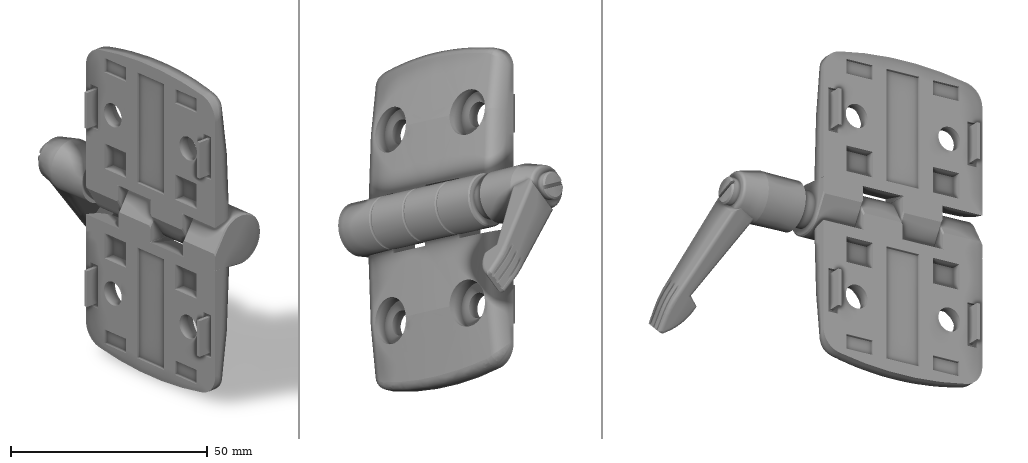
import cadquery as cq
import math


leaf_width = 48.0
half_width = leaf_width / 2
leaf_end = 43.5
end_arc_radius = 100.05
corner_radius = 6.0
axis_height = 9.05
mount_y = -axis_height
slab_depth = 12.2
dome_radius = 200.1
shoulder_radius = 4.0
end_edge_radius = 2.0
bend_height = 7.4
inner_slope = 2.6
outer_slope = 7.4

knuckle_count = 4
knuckle_pitch = leaf_width / knuckle_count
knuckle_gap = 0.2
knuckle_radius = 7.0
knuckle_chamfer = 0.35
bevel_start = 1.4
ledge_z = 6.2
notch_z = 6.0
notch_slope = 13.5

hole_x = 14.0
hole_z = 25.0
hole_diameter = 6.5
counterbore_diameter = 12.0
counterbore_seat = 3.0
pocket_x = 13.05
pocket_width = 8.0
end_pocket_bottom = 36.0
pocket_top = 40.0
hinge_pocket_bottom = 9.05
hinge_pocket_top = 16.1
hinge_pocket_depth = 3.05
shallow_depth = 1.0
middle_pocket_width = 10.0
tab_x = 21.0
tab_recess_width = 3.0
tab_recess_length = 12.0
tab_thickness = 1.0
tab_length = 10.0
tab_projection = 3.0

hub_end_x = -27.9
hub_ridge_x = -39.2
hub_face_x = -45.8
hub_end_radius = 6.8
hub_ridge_radius = 7.0
hub_face_radius = 5.5
hub_face_fillet = 0.9
arm_angle = 40.0
arm_draft = 2.4
arm_root_half_width = 5.3
arm_edge_radius = 1.0
arm_length = 39.85
arm_tip_x = -53.5
arm_bend_x = -52.55
arm_bend = 28.1
arm_mid_bend_x = -53.25
arm_mid_bend = 31.2
arm_straight = 34.4
groove_pitch = 2.1
groove_width = 0.7
groove_start = 25.75
groove_depth = 0.35

insert_radius = 5.05
insert_depth = 7.8
screw_head_radius = 3.6
screw_head_x = -48.0
screw_head_chamfer = 0.4
screw_shank_radius = 2.5
screw_end_x = -32.2
slot_width = 1.0
slot_depth = 1.05
slot_angle = 19.0


def leaf_outline():
    """Rounded end of the leaf, as a slab that starts at the hinge axis."""
    end_centre_z = leaf_end - end_arc_radius
    corner_x = half_width - corner_radius
    corner_z = end_centre_z + math.sqrt((end_arc_radius - corner_radius) ** 2 - corner_x ** 2)
    tilt = math.asin(corner_x / (end_arc_radius - corner_radius))
    blend_x = end_arc_radius * math.sin(tilt)
    blend_z = end_centre_z + end_arc_radius * math.cos(tilt)
    middle = (math.pi / 2 - tilt) / 2
    mid_x = corner_x + corner_radius * math.cos(middle)
    mid_z = corner_z + corner_radius * math.sin(middle)
    return (
        cq.Workplane("XZ", origin=(0, mount_y, 0))
        .moveTo(-half_width, 0)
        .lineTo(half_width, 0)
        .lineTo(half_width, corner_z)
        .threePointArc((mid_x, mid_z), (blend_x, blend_z))
        .threePointArc((0, leaf_end), (-blend_x, blend_z))
        .threePointArc((-mid_x, mid_z), (-half_width, corner_z))
        .close()
        .extrude(-slab_depth)
    )


def back_prism(slope):
    """Bar with the domed cross-section of the back, leaning by `slope` about the bend."""
    sagitta = dome_radius - math.sqrt(dome_radius ** 2 - half_width ** 2)
    depth = 2 * slab_depth
    reach = leaf_end
    prism = (
        cq.Workplane("XY", origin=(0, 0, -reach))
        .moveTo(-half_width, -depth)
        .lineTo(half_width, -depth)
        .lineTo(half_width, -sagitta)
        .threePointArc((0, 0), (-half_width, -sagitta))
        .close()
        .extrude(2 * reach)
        .edges("|Z").edges(">Y")
        .fillet(shoulder_radius)
    )
    return prism.rotate((0, 0, 0), (1, 0, 0), slope).translate((0, mount_y + bend_height, hole_z))


def leaf_plate():
    """Domed plate above the hinge, with its end edge rounded."""
    blank = leaf_outline().intersect(back_prism(inner_slope)).intersect(back_prism(outer_slope))
    end_edges = cq.selectors.BoxSelector(
        (-half_width / 2, mount_y + end_edge_radius, leaf_end - corner_radius),
        (half_width / 2, mount_y + slab_depth, leaf_end),
    )
    rounded = blank.edges(end_edges).fillet(end_edge_radius)
    below_notch = cq.Workplane("XY").box(leaf_width, 4 * slab_depth, 2 * notch_z)
    return rounded.cut(below_notch)


def segment_start(index):
    return -half_width + index * knuckle_pitch


def knuckle(index):
    """Bevelled, round-ended knuckle that joins the plate above the hinge axis."""
    bevel_reach = math.hypot(axis_height, bevel_start)
    tangent_length = math.sqrt(bevel_reach ** 2 - knuckle_radius ** 2)
    direction = math.atan2(bevel_start, axis_height) + math.asin(knuckle_radius / bevel_reach)
    tangent_y = mount_y + tangent_length * math.cos(direction)
    tangent_z = bevel_start - tangent_length * math.sin(direction)
    middle = knuckle_radius * math.sqrt(0.5)
    left_gap = knuckle_gap / 2 if index > 0 else 0
    right_gap = knuckle_gap / 2 if index < knuckle_count - 1 else 0
    return (
        cq.Workplane("YZ", origin=(segment_start(index) + left_gap, 0, 0))
        .moveTo(mount_y, bevel_start)
        .lineTo(tangent_y, tangent_z)
        .threePointArc((middle, -middle), (0, knuckle_radius))
        .lineTo(mount_y, ledge_z)
        .close()
        .extrude(knuckle_pitch - left_gap - right_gap)
        .edges("%CIRCLE")
        .chamfer(knuckle_chamfer)
    )


def knuckle_notch(index):
    """Clearance for a knuckle of the other leaf, with a sloping floor."""
    rise = slab_depth * math.tan(math.radians(notch_slope))
    return (
        cq.Workplane("YZ", origin=(segment_start(index), 0, 0))
        .moveTo(mount_y, 0)
        .lineTo(mount_y, notch_z)
        .lineTo(mount_y + slab_depth, notch_z + rise)
        .lineTo(mount_y + slab_depth, 0)
        .close()
        .extrude(knuckle_pitch)
    )


def front_pocket(centre_x, bottom, top, width, depth):
    """Rectangular pocket sunk into the mounting face."""
    return cq.Workplane("XY").box(width, depth, top - bottom).translate(
        (centre_x, mount_y + depth / 2, (bottom + top) / 2)
    )


def counterbored_hole(centre_x):
    hole = (
        cq.Workplane("XZ", origin=(centre_x, mount_y, hole_z))
        .circle(hole_diameter / 2)
        .extrude(-slab_depth)
    )
    counterbore = (
        cq.Workplane("XZ", origin=(centre_x, mount_y + counterbore_seat, hole_z))
        .circle(counterbore_diameter / 2)
        .extrude(-slab_depth)
    )
    return hole.union(counterbore)


def tab(centre_x):
    """Locating tab that stands on the floor of its recess."""
    height = tab_projection + shallow_depth
    return cq.Workplane("XY").box(tab_thickness, height, tab_length).translate(
        (centre_x, mount_y - tab_projection + height / 2, hole_z)
    )


def leaf(first_knuckle):
    """Upper leaf, with every second knuckle starting from `first_knuckle`."""
    body = leaf_plate()
    for index in range(knuckle_count):
        if index % 2 == first_knuckle:
            body = body.union(knuckle(index))
        else:
            body = body.cut(knuckle_notch(index))
    body = body.cut(front_pocket(0, hinge_pocket_bottom, pocket_top, middle_pocket_width, shallow_depth))
    for side in (-1, 1):
        x = side * pocket_x
        body = body.cut(front_pocket(x, end_pocket_bottom, pocket_top, pocket_width, shallow_depth))
        body = body.cut(
            front_pocket(x, hinge_pocket_bottom, hinge_pocket_top, pocket_width, hinge_pocket_depth)
        )
        body = body.cut(counterbored_hole(side * hole_x))
        recess_bottom = hole_z - tab_recess_length / 2
        recess_top = hole_z + tab_recess_length / 2
        body = body.cut(
            front_pocket(side * tab_x, recess_bottom, recess_top, tab_recess_width, shallow_depth)
        )
        body = body.union(tab(side * tab_x))
    return body


upper_leaf = leaf(first_knuckle=0)
lower_leaf = leaf(first_knuckle=1).mirror("XY")


arm_tilt = math.radians(arm_angle)
arm_direction = cq.Vector(0, math.sin(arm_tilt), -math.cos(arm_tilt))
arm_across = cq.Vector(0, math.cos(arm_tilt), math.sin(arm_tilt))


def hub():
    """Turned hub on the hinge axis, coned towards the screw."""
    return (
        cq.Workplane("XY")
        .moveTo(hub_end_x, 0)
        .lineTo(hub_end_x, hub_end_radius)
        .lineTo(hub_ridge_x, hub_ridge_radius)
        .lineTo(hub_face_x, hub_face_radius)
        .lineTo(hub_face_x, 0)
        .close()
        .revolve(360, (0, 0, 0), (1, 0, 0))
        .faces("<X").edges()
        .fillet(hub_face_fillet)
    )


def is_long_arm_edge(edge):
    """True for the edges that run along the two sides of the arm outside the hub."""
    centre = edge.Center()
    return centre.dot(arm_direction) > 4.35 and abs(centre.dot(arm_across)) > 0.9


def arm():
    """Tapered arm whose outline lies in the plane of the hinge axis and the arm direction."""
    profile_plane = cq.Plane(origin=(0, 0, 0), xDir=(1, 0, 0), normal=arm_across)
    profile = (
        cq.Workplane(profile_plane)
        .moveTo(-41.8, 0)
        .lineTo(hub_face_x, 3.3)
        .lineTo(-46.6, 4.2)
        .lineTo(arm_bend_x, arm_bend)
        .threePointArc((arm_mid_bend_x, arm_mid_bend), (arm_tip_x, arm_straight))
        .lineTo(arm_tip_x, arm_length - 0.35)
        .lineTo(-52.2, arm_length)
        .threePointArc((-48.55, 36.6), (-45.7, 30.6))
        .lineTo(-48.5, 28.2)
        .lineTo(-40.2, 6.1)
        .lineTo(-39.2, 0)
        .close()
        .extrude(hub_ridge_radius, both=True)
    )
    taper_plane = cq.Plane(origin=(-60.9, 0, 0), xDir=arm_direction, normal=(1, 0, 0))
    length = 43.5
    tip_half_width = arm_root_half_width - length * math.tan(math.radians(arm_draft))
    taper = (
        cq.Workplane(taper_plane)
        .moveTo(0, -arm_root_half_width)
        .lineTo(length, -tip_half_width)
        .lineTo(length, tip_half_width)
        .lineTo(0, arm_root_half_width)
        .close()
        .extrude(26.1)
    )
    return (
        profile.intersect(taper)
        .edges()
        .filter(is_long_arm_edge)
        .fillet(arm_edge_radius)
    )


def grip_grooves():
    """Three grooves that follow the outer face of the arm out over its tip."""
    outside_x = arm_tip_x - groove_depth
    floor_x = arm_tip_x + groove_depth
    run_out = arm_length + groove_depth
    grooves = cq.Workplane("XY")
    for offset in (-groove_pitch, 0, groove_pitch):
        plane = cq.Plane(origin=(arm_across * offset).toTuple(), xDir=(1, 0, 0), normal=arm_across)
        groove = (
            cq.Workplane(plane)
            .moveTo(outside_x, groove_start)
            .lineTo(arm_bend_x + groove_depth, groove_start)
            .lineTo(arm_bend_x + groove_depth, arm_bend)
            .threePointArc((arm_mid_bend_x + groove_depth, arm_mid_bend), (floor_x, arm_straight))
            .lineTo(floor_x, run_out)
            .lineTo(outside_x, run_out)
            .close()
            .extrude(groove_width / 2, both=True)
        )
        grooves = grooves.add(groove)
    return grooves


def lever():
    body = arm().union(hub())
    for groove in grip_grooves().vals():
        body = body.cut(cq.Workplane(groove))
    bore = cq.Workplane("YZ", origin=(hub_end_x, 0, 0)).circle(insert_radius).extrude(-insert_depth)
    screw_hole = cq.Workplane("YZ", origin=(hub_face_x, 0, 0)).circle(screw_shank_radius).extrude(-hub_face_x)
    return body.cut(bore).cut(screw_hole)


def threaded_insert():
    length = -half_width - hub_end_x + insert_depth
    sleeve = cq.Workplane("YZ", origin=(hub_end_x - insert_depth, 0, 0)).circle(insert_radius).extrude(length)
    thread = (
        cq.Workplane("YZ", origin=(hub_end_x - insert_depth, 0, 0))
        .circle(screw_shank_radius)
        .extrude(screw_end_x - hub_end_x + insert_depth)
    )
    return sleeve.cut(thread)


def retaining_screw():
    head = (
        cq.Workplane("YZ", origin=(hub_face_x, 0, 0))
        .circle(screw_head_radius)
        .extrude(screw_head_x - hub_face_x)
        .faces("<X").edges()
        .chamfer(screw_head_chamfer)
    )
    shank = cq.Workplane("YZ", origin=(hub_face_x, 0, 0)).circle(screw_shank_radius).extrude(screw_end_x - hub_face_x)
    slot = (
        cq.Workplane("XY")
        .box(2 * slot_depth, 3 * screw_head_radius, slot_width)
        .rotate((0, 0, 0), (1, 0, 0), -slot_angle)
        .translate((screw_head_x, 0, 0))
    )
    return head.union(shank).cut(slot)


result = cq.Compound.makeCompound(
    [
        upper_leaf.val(),
        lower_leaf.val(),
        lever().val(),
        threaded_insert().val(),
        retaining_screw().val(),
    ]
)